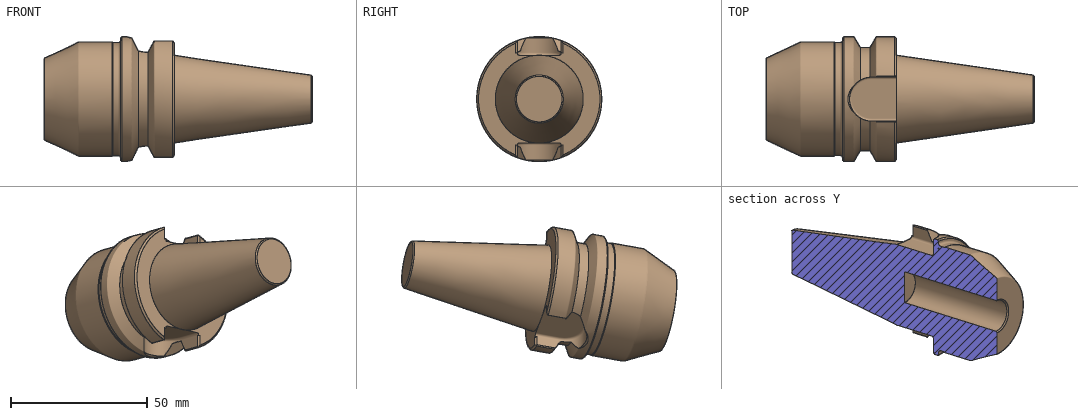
import cadquery as cq
import math

total_length = 98.4
nose_cone_end = 12.7
groove_start = 24.9
collar_start = 28.0
collar_end = 32.2
neck_start = 34.5
neck_end = 38.1
flange_start = 40.4
flange_end = 47.8

nose_radius = 15.1
body_radius = 42.0 / 2
groove_radius = 41.6 / 2
collar_radius = 46.0 / 2
neck_radius = 19.0
taper_large_radius = 16.1
taper_small_radius = 8.9

nose_fillet = 0.6
shoulder_fillet = 1.0
groove_bevel = 0.3
collar_cove = 0.9
collar_rear_fillet = 0.3
flange_front_fillet = 0.6
collar_chamfer = 0.5
flange_chamfer = 0.7
tail_chamfer = 0.5

bore_radius = 12.0 / 2
bore_depth = 44.3
bore_chamfer = 0.5

slot_radius = 8.1
slot_center = 38.7
slot_floor = 16.0
slot_floor_fillet = 0.9
lug_edge_chamfer = 0.5
round_end_chamfer = 0.6
slot_rear_chamfer = 0.7


def round_rim(body, station, radius):
    """Fillet the full circular edge of the body at one station along X."""
    margin = 0.1
    at_station = cq.selectors.BoxSelector(
        (station - margin, -collar_radius, -collar_radius),
        (station + margin, collar_radius, collar_radius),
    )
    return body.edges("%CIRCLE").edges(at_station).fillet(radius)


def holder_body():
    """Revolved nose, collar, gripper groove, flange and taper."""
    body = (
        cq.Workplane("XY")
        .lineTo(0, nose_radius)
        .lineTo(nose_cone_end, body_radius)
        .lineTo(groove_start, body_radius)
        .lineTo(groove_start + groove_bevel, groove_radius)
        .lineTo(collar_start - collar_cove, groove_radius)
        .tangentArcPoint((collar_start, groove_radius + collar_cove), relative=False)
        .lineTo(collar_start, collar_radius - collar_chamfer)
        .lineTo(collar_start + collar_chamfer, collar_radius)
        .lineTo(collar_end, collar_radius)
        .lineTo(neck_start, neck_radius)
        .lineTo(neck_end, neck_radius)
        .lineTo(flange_start, collar_radius)
        .lineTo(flange_end - flange_chamfer, collar_radius)
        .lineTo(flange_end, collar_radius - flange_chamfer)
        .lineTo(flange_end, taper_large_radius)
        .lineTo(total_length - tail_chamfer, taper_small_radius)
        .lineTo(total_length, taper_small_radius - tail_chamfer)
        .lineTo(total_length, 0)
        .close()
        .revolve(360, (0, 0, 0), (1, 0, 0))
    )
    body = round_rim(body, 0, nose_fillet)
    body = round_rim(body, nose_cone_end, shoulder_fillet)
    body = round_rim(body, collar_end, collar_rear_fillet)
    return round_rim(body, flange_start, flange_front_fillet)


def tool_bore():
    """Blind bore with a chamfered mouth."""
    mouth_radius = bore_radius + bore_chamfer
    profile = [
        (0, 0),
        (0, mouth_radius),
        (bore_chamfer, bore_radius),
        (bore_depth, bore_radius),
        (bore_depth, 0),
    ]
    return cq.Workplane("XY").polyline(profile).close().revolve(360, (0, 0, 0), (1, 0, 0))


def drive_slot():
    """Cutter for the +Z slot: round inner end, open to the rear, filleted floor."""
    height = collar_radius - slot_floor
    slot = (
        cq.Workplane("XY", origin=(0, 0, slot_floor))
        .moveTo(flange_end, -slot_radius)
        .lineTo(slot_center, -slot_radius)
        .threePointArc((slot_center - slot_radius, 0), (slot_center, slot_radius))
        .lineTo(flange_end, slot_radius)
        .close()
        .extrude(height)
    )
    return slot.faces("<Z").edges("not >X").fillet(slot_floor_fillet)


def rear_corner_bevel():
    """Cutter for the rear corner of the +Y slot wall, above the floor fillet."""
    base = slot_floor + slot_floor_fillet
    return (
        cq.Workplane("XY", origin=(0, 0, base))
        .moveTo(flange_end - slot_rear_chamfer, slot_radius)
        .lineTo(flange_end, slot_radius + slot_rear_chamfer)
        .lineTo(flange_end, slot_radius)
        .close()
        .extrude(collar_radius - base)
    )


def lug_edge_bevel():
    """Cutter for the long outer edge of the +Y slot wall."""
    edge_height = math.sqrt(collar_radius**2 - slot_radius**2)
    return (
        cq.Workplane("YZ", origin=(flange_start, 0, 0))
        .moveTo(slot_radius, edge_height - lug_edge_chamfer)
        .lineTo(slot_radius + lug_edge_chamfer, edge_height)
        .lineTo(slot_radius, edge_height)
        .close()
        .extrude(flange_end - flange_start)
    )


def round_end_bevel():
    """Conical cutter that bevels the round slot end where it enters the collar."""
    return (
        cq.Workplane("XY", origin=(slot_center, 0, collar_radius - round_end_chamfer))
        .circle(slot_radius)
        .extrude(round_end_chamfer, taper=-45)
    )


result = holder_body().cut(tool_bore())
wall_bevels = [rear_corner_bevel(), lug_edge_bevel()]
slot_cutters = [drive_slot(), round_end_bevel()]
slot_cutters += wall_bevels + [bevel.mirror("XZ") for bevel in wall_bevels]
for angle in (0, 180):
    for cutter in slot_cutters:
        result = result.cut(cutter.rotate((0, 0, 0), (1, 0, 0), angle))